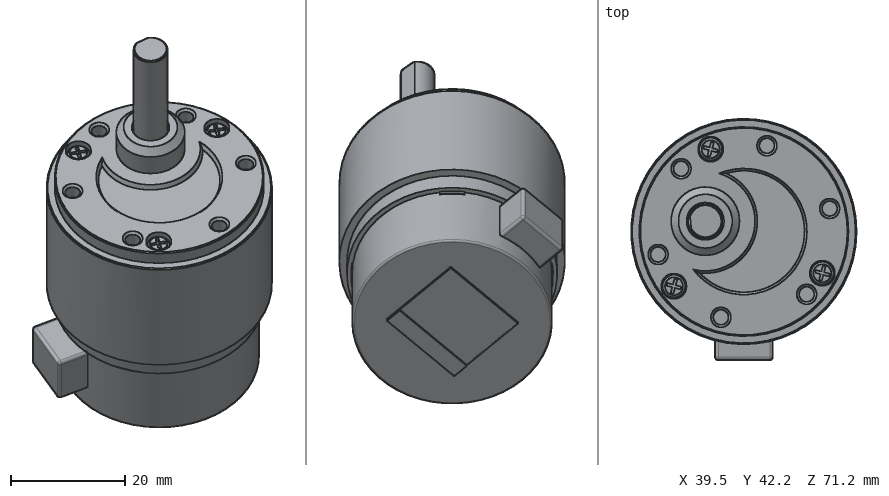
import cadquery as cq
import math

TOTAL_HEIGHT = 71.25
LOW_PAD_Z = 0.2
MOTOR_BOTTOM_Z = 0.6
COLLAR_BOTTOM_Z = 15.4
GEARBOX_BOTTOM_Z = 19.0
GEARBOX_TOP_Z = 43.3
COVER_TOP_Z = 45.95
BOSS_TOP_Z = 51.45
FLAT_BOTTOM_Z = 52.8

MOTOR_DIA = 35.0
MOTOR_EDGE_FILLET = 0.35
COLLAR_DIA = 36.8
GEARBOX_DIA = 39.5
GEARBOX_EDGE_CHAMFER = 0.2
COVER_DIA = 36.6
COVER_EDGE_CHAMFER = 0.2

SHAFT_OFFSET = 7.0
SHAFT_ANGLE = 165.0
SHAFT_DIA = 6.0
SHAFT_CHAMFER = 0.2
FLAT_DEPTH = 0.4
FLAT_ANGLE = 185.0
BOSS_DIA = 12.0
BOSS_CHAMFER = 1.3
BOSS_BORE_DIA = 6.55
BOSS_BORE_DEPTH = 1.0

RECESS_DIA = 22.1
ISLAND_DIA = 17.4
RECESS_DEPTH = 0.85
RECESS_WALL_RUN = 0.4

HOLE_CIRCLE_RADIUS = 15.5
MOUNT_HOLE_COUNT = 6
MOUNT_HOLE_START = 15.0
MOUNT_HOLE_DIA = 2.65
MOUNT_HOLE_MOUTH_DIA = 3.5
MOUNT_HOLE_DEPTH = 3.0

SCREW_ANGLES = (112.0, 218.0, 332.0)
SCREW_POCKET_DIA = 4.4
SCREW_POCKET_DEPTH = 1.4
SCREW_HEAD_DIA = 4.0
SCREW_HEAD_HEIGHT = 0.9
SCREW_HEAD_CHAMFER = 0.4
CROSS_LENGTH = 2.5
CROSS_WIDTH = 0.5
CROSS_DEPTH = 0.8
CROSS_ANGLE = 75.0

TAB_COUNT = 4
TAB_START_ANGLE = 45.0
TAB_WIDTH = 4.4
TAB_HEIGHT = 0.65
TAB_OUTER_DIA = 35.35

CONNECTOR_WIDTH = 10.1
CONNECTOR_HEIGHT = 9.2
CONNECTOR_BOTTOM_Z = 5.1
CONNECTOR_FRONT_Y = -22.5
CONNECTOR_FILLET = 0.6

PAD_WIDTH = 16.7
PAD_CENTER_X = -0.2
LOW_PAD_FRONT_Y = -8.2
HIGH_PAD_FRONT_Y = 4.4
HIGH_PAD_BACK_Y = 7.55


def polar(radius, angle):
    return (radius * math.cos(math.radians(angle)), radius * math.sin(math.radians(angle)))


def cylinder(diameter, bottom, top, center=(0, 0)):
    return cq.Workplane("XY", origin=(*center, bottom)).circle(diameter / 2).extrude(top - bottom)


def cone(bottom_dia, top_dia, bottom, top, center=(0, 0)):
    profile = cq.Workplane("XY", origin=(*center, bottom)).circle(bottom_dia / 2)
    return profile.workplane(offset=top - bottom).circle(top_dia / 2).loft()


def box_between(low, high):
    size = [b - a for a, b in zip(low, high)]
    return cq.Workplane("XY").box(*size, centered=False).translate(low)


SHAFT_CENTER = polar(SHAFT_OFFSET, SHAFT_ANGLE)


def make_housing():
    motor = cylinder(MOTOR_DIA, MOTOR_BOTTOM_Z, COLLAR_BOTTOM_Z)
    motor = motor.faces("<Z").edges().fillet(MOTOR_EDGE_FILLET)
    collar = cylinder(COLLAR_DIA, COLLAR_BOTTOM_Z, GEARBOX_BOTTOM_Z)
    gearbox = cylinder(GEARBOX_DIA, GEARBOX_BOTTOM_Z, GEARBOX_TOP_Z)
    gearbox = gearbox.faces(">Z").edges().chamfer(GEARBOX_EDGE_CHAMFER)
    cover = cylinder(COVER_DIA, GEARBOX_TOP_Z, COVER_TOP_Z)
    cover = cover.faces(">Z").edges().chamfer(COVER_EDGE_CHAMFER)
    return motor.union(collar).union(gearbox).union(cover)


def make_recess():
    """Crescent-shaped cutter: a tapered disc less the tapered island."""
    floor = COVER_TOP_Z - RECESS_DEPTH
    disc = cone(RECESS_DIA - 2 * RECESS_WALL_RUN, RECESS_DIA, floor, COVER_TOP_Z)
    island_base_dia = ISLAND_DIA + 2 * RECESS_WALL_RUN
    island = cone(island_base_dia, ISLAND_DIA, floor, COVER_TOP_Z, SHAFT_CENTER)
    return disc.cut(island)


def make_boss():
    boss = cylinder(BOSS_DIA, COVER_TOP_Z, BOSS_TOP_Z, SHAFT_CENTER)
    boss = boss.faces(">Z").edges().chamfer(BOSS_CHAMFER)
    bore = cylinder(BOSS_BORE_DIA, BOSS_TOP_Z - BOSS_BORE_DEPTH, BOSS_TOP_Z, SHAFT_CENTER)
    return boss.cut(bore)


def make_shaft():
    shaft = cylinder(SHAFT_DIA, COVER_TOP_Z, TOTAL_HEIGHT, SHAFT_CENTER)
    shaft = shaft.faces(">Z").edges().chamfer(SHAFT_CHAMFER)
    radius = SHAFT_DIA / 2
    flat_cutter = box_between(
        (radius - FLAT_DEPTH, -radius, FLAT_BOTTOM_Z),
        (2 * radius, radius, TOTAL_HEIGHT),
    )
    flat_cutter = flat_cutter.rotate((0, 0, 0), (0, 0, 1), FLAT_ANGLE)
    return shaft.cut(flat_cutter.translate((*SHAFT_CENTER, 0)))


def make_mount_hole(center):
    mouth_depth = (MOUNT_HOLE_MOUTH_DIA - MOUNT_HOLE_DIA) / 2
    hole = cylinder(MOUNT_HOLE_DIA, COVER_TOP_Z - MOUNT_HOLE_DEPTH, COVER_TOP_Z, center)
    mouth = cone(MOUNT_HOLE_DIA, MOUNT_HOLE_MOUTH_DIA, COVER_TOP_Z - mouth_depth, COVER_TOP_Z, center)
    return hole.union(mouth)


def make_screw_head(center):
    bottom = COVER_TOP_Z - SCREW_POCKET_DEPTH
    top = bottom + SCREW_HEAD_HEIGHT
    head = cylinder(SCREW_HEAD_DIA, bottom, top, center)
    head = head.faces(">Z").edges().chamfer(SCREW_HEAD_CHAMFER)
    slot_plane = cq.Workplane("XY", origin=(*center, top - CROSS_DEPTH))
    for angle in (CROSS_ANGLE, CROSS_ANGLE + 90):
        slot = slot_plane.transformed(rotate=(0, 0, angle)).rect(CROSS_LENGTH, CROSS_WIDTH)
        head = head.cut(slot.extrude(CROSS_DEPTH))
    return head


def make_tabs():
    """Short arc segments standing just proud of the motor wall."""
    bottom = COLLAR_BOTTOM_Z - TAB_HEIGHT
    disc = cylinder(TAB_OUTER_DIA, bottom, COLLAR_BOTTOM_Z)
    bars = cq.Workplane("XY", origin=(0, 0, bottom))
    tabs = None
    for index in range(TAB_COUNT // 2):
        angle = TAB_START_ANGLE + index * 360 / TAB_COUNT
        bar = bars.transformed(rotate=(0, 0, angle)).rect(COLLAR_DIA, TAB_WIDTH).extrude(TAB_HEIGHT)
        tabs = bar if tabs is None else tabs.union(bar)
    return tabs.intersect(disc)


def make_connector():
    block = box_between(
        (-CONNECTOR_WIDTH / 2, CONNECTOR_FRONT_Y, CONNECTOR_BOTTOM_Z),
        (CONNECTOR_WIDTH / 2, 0, CONNECTOR_BOTTOM_Z + CONNECTOR_HEIGHT),
    )
    return block.edges("|Y or <Y").fillet(CONNECTOR_FILLET)


def make_bottom_pads():
    left = PAD_CENTER_X - PAD_WIDTH / 2
    right = PAD_CENTER_X + PAD_WIDTH / 2
    low_pad = box_between((left, LOW_PAD_FRONT_Y, LOW_PAD_Z), (right, HIGH_PAD_FRONT_Y, MOTOR_BOTTOM_Z))
    high_pad = box_between((left, HIGH_PAD_FRONT_Y, 0), (right, HIGH_PAD_BACK_Y, MOTOR_BOTTOM_Z))
    return low_pad.union(high_pad)


result = make_housing().cut(make_recess()).union(make_boss()).union(make_shaft())

for index in range(MOUNT_HOLE_COUNT):
    hole_angle = MOUNT_HOLE_START + index * 360 / MOUNT_HOLE_COUNT
    result = result.cut(make_mount_hole(polar(HOLE_CIRCLE_RADIUS, hole_angle)))

for screw_angle in SCREW_ANGLES:
    screw_center = polar(HOLE_CIRCLE_RADIUS, screw_angle)
    pocket = cylinder(SCREW_POCKET_DIA, COVER_TOP_Z - SCREW_POCKET_DEPTH, COVER_TOP_Z, screw_center)
    result = result.cut(pocket).union(make_screw_head(screw_center))

result = result.union(make_tabs()).union(make_connector()).union(make_bottom_pads())